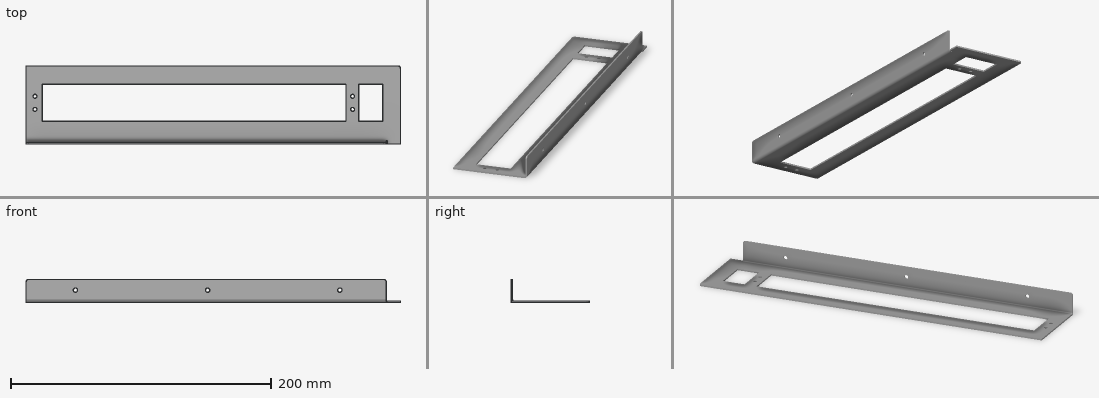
import cadquery as cq

length = 287.8
depth = 60.1
height = 17.8
thickness = 1.2
bend_inner_radius = 1.0
bend_outer_radius = bend_inner_radius + thickness
corner_radius = 2.0

flange_length = 276.8
relief_width = 0.5
relief_depth = 2.5
flange_hole_diameter = 3.2
flange_hole_height = 9.5
flange_hole_start = 38.0
flange_hole_spacing = 101.5
flange_hole_count = 3

window_center_y = 31.7
window_width = 28.2
long_window_start = 12.7
long_window_end = 245.8
short_window_start = 255.8
short_window_end = 274.0

plate_hole_diameter = 3.0
plate_hole_pitch = 10.0
plate_hole_columns = (7.0, 251.0)


def corner_box(x_start, x_size, y_size, z_size, base_offset=0.0):
    """Box spanning +X, +Y and +Z from its corner, offset equally in Y and Z."""
    size = (x_size, y_size, z_size)
    corner = cq.Vector(x_start, base_offset, base_offset)
    return cq.Workplane("XY").box(*size, centered=False).translate(corner)


def bent_angle():
    """Bent L section along the flange length, with the upper flange corners rounded."""
    outside = corner_box(0, flange_length, depth, height)
    outside = outside.edges("|X and <Y and <Z").fillet(bend_outer_radius)
    inside = corner_box(0, flange_length, depth, height, thickness)
    inside = inside.edges("|X and <Y and <Z").fillet(bend_inner_radius)
    return outside.cut(inside).edges("|Y and >Z").fillet(corner_radius)


def plate_tab():
    """Flat end of the plate beyond the flange, notched by the bend relief."""
    tab = corner_box(flange_length, length - flange_length, depth, thickness)
    tab = tab.edges("|Z and >X and >Y").fillet(corner_radius)
    relief = corner_box(flange_length, relief_width, relief_depth, thickness)
    return tab.cut(relief)


def plate_window(start, end):
    """Cutter for a rectangular window between two X positions."""
    return (
        cq.Workplane("XY")
        .center((start + end) / 2, window_center_y)
        .rect(end - start, window_width)
        .extrude(thickness)
    )


def plate_holes():
    """Cutters for the hole pairs at both ends of the long window."""
    half_pitch = plate_hole_pitch / 2
    centers = [
        (x, window_center_y + offset)
        for x in plate_hole_columns
        for offset in (-half_pitch, half_pitch)
    ]
    return (
        cq.Workplane("XY")
        .pushPoints(centers)
        .circle(plate_hole_diameter / 2)
        .extrude(thickness)
    )


def flange_holes():
    """Cutters for the evenly spaced row of holes through the flange."""
    centers = [
        (flange_hole_start + i * flange_hole_spacing, flange_hole_height)
        for i in range(flange_hole_count)
    ]
    return (
        cq.Workplane("XZ")
        .pushPoints(centers)
        .circle(flange_hole_diameter / 2)
        .extrude(-thickness)
    )


result = (
    bent_angle()
    .union(plate_tab())
    .cut(plate_window(long_window_start, long_window_end))
    .cut(plate_window(short_window_start, short_window_end))
    .cut(plate_holes())
    .cut(flange_holes())
)